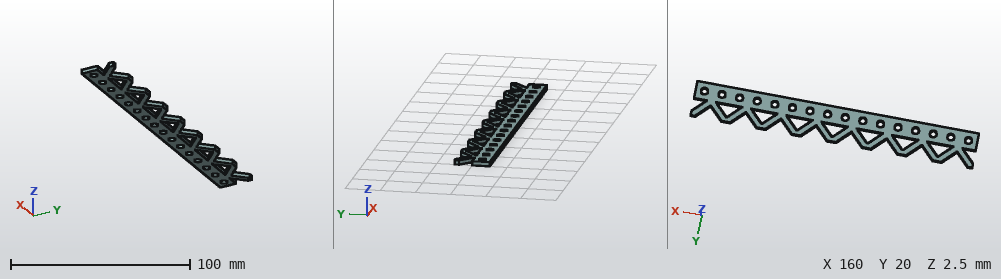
import cadquery as cq

length = 160.0
hole_count = 16
hole_diameter = 3.8

hole_pitch = length / hole_count
bar_width = hole_pitch
total_width = 2 * bar_width
thickness = total_width / 8

peak_pitch = 2 * hole_pitch
bay_count = hole_count // 2
half_flat = total_width / 8
valley_y = total_width - (peak_pitch / 2 - half_flat)
inner_peak_y = total_width - half_flat


def make_bar():
    """Plain bar with a corner at the origin."""
    return cq.Workplane("XY").box(length, bar_width, thickness, centered=False)


def make_v_bay(start_x):
    """V of two struts reaching from one peak centre to the next."""
    middle_x = start_x + peak_pitch / 2
    end_x = start_x + peak_pitch
    outline = [
        (start_x, total_width),
        (start_x + half_flat, total_width),
        (middle_x, valley_y),
        (end_x - half_flat, total_width),
        (end_x, total_width),
        (end_x, inner_peak_y),
        (middle_x + half_flat, bar_width),
        (middle_x - half_flat, bar_width),
        (start_x, inner_peak_y),
    ]
    return cq.Workplane("XY").polyline(outline).close().extrude(thickness)


def make_holes():
    """Row of through-hole cutters along the bar's centre line."""
    centres = [((i + 0.5) * hole_pitch, bar_width / 2) for i in range(hole_count)]
    return cq.Workplane("XY").pushPoints(centres).circle(hole_diameter / 2).extrude(thickness)


result = make_bar()
for bay in range(bay_count):
    result = result.union(make_v_bay(bay * peak_pitch))
result = result.cut(make_holes()).clean()